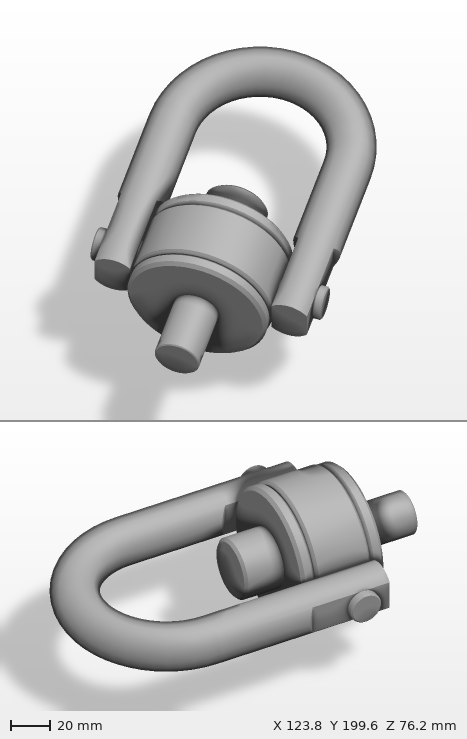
import cadquery as cq


DRUM_RADIUS = 38.1
DRUM_LENGTH = 32.0
DRUM_CHAMFER = 1.5

FLANGE_RADIUS = 37.5
FLANGE_THICKNESS = 7.8
FLANGE_CHAMFER = 1.8
STUD_RADIUS = 12.0
STUD_LENGTH = 32.7
STUD_CHAMFER = 0.5
BOSS_RADIUS = 16.8
BOSS_LENGTH = 22.3
BOSS_CHAMFER = 1.5
JOURNAL_RADIUS = BOSS_RADIUS

BAR_DIAMETER = 25.7
BAR_RADIUS = BAR_DIAMETER / 2
BAIL_OUTER_RADIUS = 59.9
BEND_RADIUS = BAIL_OUTER_RADIUS - BAR_RADIUS
BEND_CENTRE_Y = 83.2
LEG_END_Y = -DRUM_LENGTH / 2
INNER_FLAT_X = DRUM_RADIUS
OUTER_FLAT_X = 57.0
FLAT_END_Y = 28.7

HEAD_RADIUS = 8.8
HEAD_END_X = 61.9
HEAD_CHAMFER = 0.8
SHANK_RADIUS = 7.5
SHANK_END_X = 28.0

SIDES = (-1, 1)


def rod_y(radius, y_start, length):
    """Cylinder on the Y axis, from y_start towards +Y."""
    return cq.Workplane("XZ", origin=(0, y_start, 0)).circle(radius).extrude(-length)


def rod_x(radius, x_start, x_end):
    """Cylinder on the X axis between two places on the +X side."""
    return cq.Workplane("YZ", origin=(x_start, 0, 0)).circle(radius).extrude(x_end - x_start)


def on_side(body, side):
    """The body itself for the +X side, or its mirror image for the -X side."""
    return body if side > 0 else body.mirror("YZ")


def pin_hole():
    """Cutter for one pin shank, open through the leg and blind in the drum."""
    return rod_x(SHANK_RADIUS, SHANK_END_X, OUTER_FLAT_X)


def make_drum():
    drum = rod_y(DRUM_RADIUS, -DRUM_LENGTH / 2, DRUM_LENGTH).edges().chamfer(DRUM_CHAMFER)
    drum = drum.cut(rod_y(JOURNAL_RADIUS, -DRUM_LENGTH / 2, DRUM_LENGTH))
    for side in SIDES:
        drum = drum.cut(on_side(pin_hole(), side))
    return drum


def make_flange(y_start):
    return rod_y(FLANGE_RADIUS, y_start, FLANGE_THICKNESS).edges().chamfer(FLANGE_CHAMFER)


def make_spindle():
    flange_inner_y = DRUM_LENGTH / 2
    flange_outer_y = flange_inner_y + FLANGE_THICKNESS
    stud = rod_y(STUD_RADIUS, -flange_outer_y - STUD_LENGTH, STUD_LENGTH)
    boss = rod_y(BOSS_RADIUS, flange_outer_y, BOSS_LENGTH)
    spindle = rod_y(JOURNAL_RADIUS, -flange_inner_y, DRUM_LENGTH)
    spindle = spindle.union(make_flange(-flange_outer_y))
    spindle = spindle.union(make_flange(flange_inner_y))
    spindle = spindle.union(stud.faces("<Y").chamfer(STUD_CHAMFER))
    return spindle.union(boss.faces(">Y").chamfer(BOSS_CHAMFER))


def flat_cutter(flat_x, direction):
    """Prism that removes the bar beyond flat_x, with a 45 degree run-out at FLAT_END_Y.

    direction is +1 for the outer flat and -1 for the inner flat of the +X leg.
    """
    reach = BAR_RADIUS
    far_x = flat_x + direction * reach
    return (
        cq.Workplane("XY")
        .moveTo(flat_x, LEG_END_Y)
        .lineTo(flat_x, FLAT_END_Y)
        .lineTo(far_x, FLAT_END_Y + reach)
        .lineTo(far_x, LEG_END_Y)
        .close()
        .extrude(BAR_RADIUS, both=True)
    )


def make_bail():
    centreline = (
        cq.Workplane("XY")
        .moveTo(-BEND_RADIUS, LEG_END_Y)
        .lineTo(-BEND_RADIUS, BEND_CENTRE_Y)
        .threePointArc((0, BEND_CENTRE_Y + BEND_RADIUS), (BEND_RADIUS, BEND_CENTRE_Y))
        .lineTo(BEND_RADIUS, LEG_END_Y)
    )
    section = cq.Workplane("XZ", origin=(-BEND_RADIUS, LEG_END_Y, 0)).circle(BAR_RADIUS)
    bail = section.sweep(centreline)
    for side in SIDES:
        bail = bail.cut(on_side(flat_cutter(OUTER_FLAT_X, 1), side))
        bail = bail.cut(on_side(flat_cutter(INNER_FLAT_X, -1), side))
        bail = bail.cut(on_side(pin_hole(), side))
    return bail


def make_pin(side):
    head = rod_x(HEAD_RADIUS, OUTER_FLAT_X, HEAD_END_X).edges().chamfer(HEAD_CHAMFER)
    shank = rod_x(SHANK_RADIUS, SHANK_END_X, OUTER_FLAT_X)
    return on_side(head.union(shank), side)


drum = make_drum()
spindle = make_spindle()
bail = make_bail()
pins = [make_pin(side) for side in SIDES]

result = cq.Compound.makeCompound(
    [drum.val(), spindle.val(), bail.val(), *[pin.val() for pin in pins]]
)